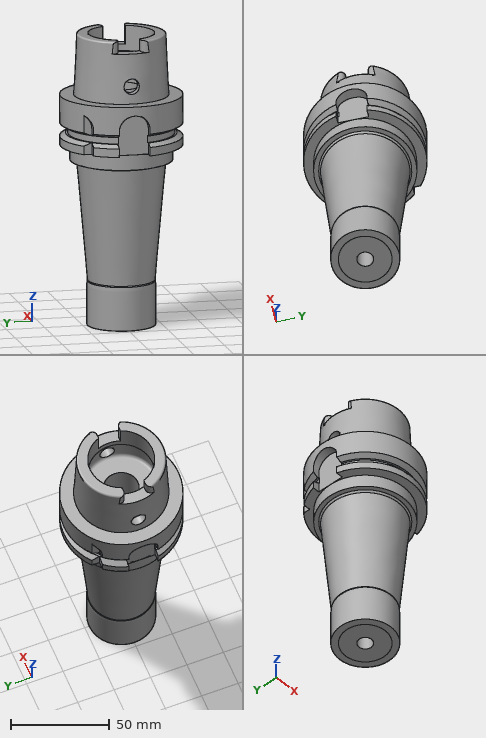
import cadquery as cq
import math

overall_length = 152.0
nut_height = 22.8
nut_gap = 0.6
taper_bottom_z = nut_height + nut_gap
taper_top_z = 85.0
neck_bottom_z = 86.0
flange_bottom_z = 94.0
flange_top_z = 120.1

shank_base_radius = 24.3
shank_tip_radius = 22.8
shank_tip_rounding = 1.0

flange_radius = 31.5
groove_floor_radius = 27.4
groove_side_radius = 28.5
groove_center_z = 101.8
groove_floor_half_width = 1.8
groove_mouth_half_width = 3.5

neck_radius = 26.3
neck_shoulder_radius = 23.7
taper_top_radius = 22.8
taper_bottom_radius = 17.3

mouth_radius = 17.0
mouth_bottom_z = 138.8
chamber_radius = 19.6
chamber_floor_z = 124.2
chamber_rounding = 1.8
bore_radius = 9.1
bore_floor_z = 68.4
through_hole_radius = 4.3

cross_hole_radius = 4.0
cross_hole_z = 129.0

drive_slot_half_width = 6.0
drive_slot_corner_radius = 2.9
drive_slot_shoulder_x = 21.0
shallow_slot_floor_z = 145.9
deep_slot_floor_z = 142.1

keyway_radius = 8.0
keyway_arch_z = 107.3
keyway_floor_x = neck_radius
notch_floor_x = 20.0
notch_inner_y = 20.0
notch_center_y = notch_inner_y + keyway_radius

spigot_radius = 13.7
nut_radius = 17.6
nut_top_radius = 17.5
nut_rim_z = 20.7


def revolve_profile(points):
    """Revolve a closed outline of (radius, z) points about the Z axis."""
    outline = cq.Workplane("XZ").polyline(points).close()
    return outline.revolve(360, (0, 0, 0), (0, 1, 0))


def cylinder(radius, bottom_z, top_z):
    return cq.Workplane("XY").workplane(offset=bottom_z).circle(radius).extrude(top_z - bottom_z)


def make_holder_blank():
    """Turned outside of the holder, from the spigot up to the shank tip."""
    profile = [
        (0, 0),
        (spigot_radius, 0),
        (spigot_radius, taper_bottom_z),
        (taper_bottom_radius, taper_bottom_z),
        (taper_top_radius, taper_top_z),
        (neck_shoulder_radius, neck_bottom_z),
        (neck_radius, neck_bottom_z),
        (neck_radius, flange_bottom_z),
        (flange_radius, flange_bottom_z),
        (flange_radius, groove_center_z - groove_mouth_half_width),
        (groove_side_radius, groove_center_z - groove_floor_half_width),
        (groove_floor_radius, groove_center_z - groove_floor_half_width),
        (groove_floor_radius, groove_center_z + groove_floor_half_width),
        (groove_side_radius, groove_center_z + groove_floor_half_width),
        (flange_radius, groove_center_z + groove_mouth_half_width),
        (flange_radius, flange_top_z),
        (shank_base_radius, flange_top_z),
        (shank_tip_radius, overall_length),
        (0, overall_length),
    ]
    return revolve_profile(profile).faces(">Z").edges().fillet(shank_tip_rounding)


def make_bore():
    """Stepped hollow: shank mouth, wider rounded chamber, bore and through hole."""
    mouth = cylinder(mouth_radius, mouth_bottom_z, overall_length)
    chamber = cylinder(chamber_radius, chamber_floor_z, mouth_bottom_z)
    chamber = chamber.faces("<Z").edges().fillet(chamber_rounding)
    bore = cylinder(bore_radius, bore_floor_z, chamber_floor_z)
    through_hole = cylinder(through_hole_radius, 0, bore_floor_z)
    return mouth.union(chamber).union(bore).union(through_hole)


def make_cross_hole():
    return (
        cq.Workplane("YZ")
        .center(0, cross_hole_z)
        .circle(cross_hole_radius)
        .extrude(shank_base_radius, both=True)
    )


def make_drive_slot(side, floor_z):
    """Slot across the shank wall that leaves rounded prong corners; side is +1 or -1 along X."""
    shoulder_y = drive_slot_half_width + drive_slot_corner_radius
    corner_x = drive_slot_shoulder_x - drive_slot_corner_radius
    outer_x = shank_base_radius
    outer_y = 2 * shoulder_y
    arc_offset = drive_slot_corner_radius * math.cos(math.radians(45))
    arc_x = corner_x + arc_offset
    arc_y = shoulder_y - arc_offset
    return (
        cq.Workplane("XY")
        .workplane(offset=floor_z)
        .moveTo(0, -drive_slot_half_width)
        .lineTo(side * corner_x, -drive_slot_half_width)
        .threePointArc((side * arc_x, -arc_y), (side * drive_slot_shoulder_x, -shoulder_y))
        .lineTo(side * drive_slot_shoulder_x, -outer_y)
        .lineTo(side * outer_x, -outer_y)
        .lineTo(side * outer_x, outer_y)
        .lineTo(side * drive_slot_shoulder_x, outer_y)
        .lineTo(side * drive_slot_shoulder_x, shoulder_y)
        .threePointArc((side * arc_x, arc_y), (side * corner_x, drive_slot_half_width))
        .lineTo(0, drive_slot_half_width)
        .close()
        .extrude(overall_length - floor_z)
    )


def make_keyway(side, floor_x, center_y):
    """Round-topped slot, open at the flange bottom and cut along X down to a flat floor."""
    return (
        cq.Workplane("YZ")
        .workplane(offset=side * floor_x)
        .moveTo(center_y - keyway_radius, flange_bottom_z)
        .lineTo(center_y - keyway_radius, keyway_arch_z)
        .threePointArc(
            (center_y, keyway_arch_z + keyway_radius),
            (center_y + keyway_radius, keyway_arch_z),
        )
        .lineTo(center_y + keyway_radius, flange_bottom_z)
        .close()
        .extrude(side * flange_radius)
    )


def make_holder():
    return (
        make_holder_blank()
        .cut(make_bore())
        .cut(make_cross_hole())
        .cut(make_drive_slot(-1, shallow_slot_floor_z))
        .cut(make_drive_slot(1, deep_slot_floor_z))
        .cut(make_keyway(-1, keyway_floor_x, 0))
        .cut(make_keyway(1, keyway_floor_x, 0))
        .cut(make_keyway(-1, notch_floor_x, notch_center_y))
    )


def make_nut():
    """Ring around the spigot, with a slightly tapered upper rim."""
    profile = [
        (spigot_radius, 0),
        (nut_radius, 0),
        (nut_radius, nut_rim_z),
        (nut_top_radius, nut_height),
        (spigot_radius, nut_height),
    ]
    return revolve_profile(profile)


holder = make_holder()
nut = make_nut()
result = cq.Compound.makeCompound([holder.val(), nut.val()])